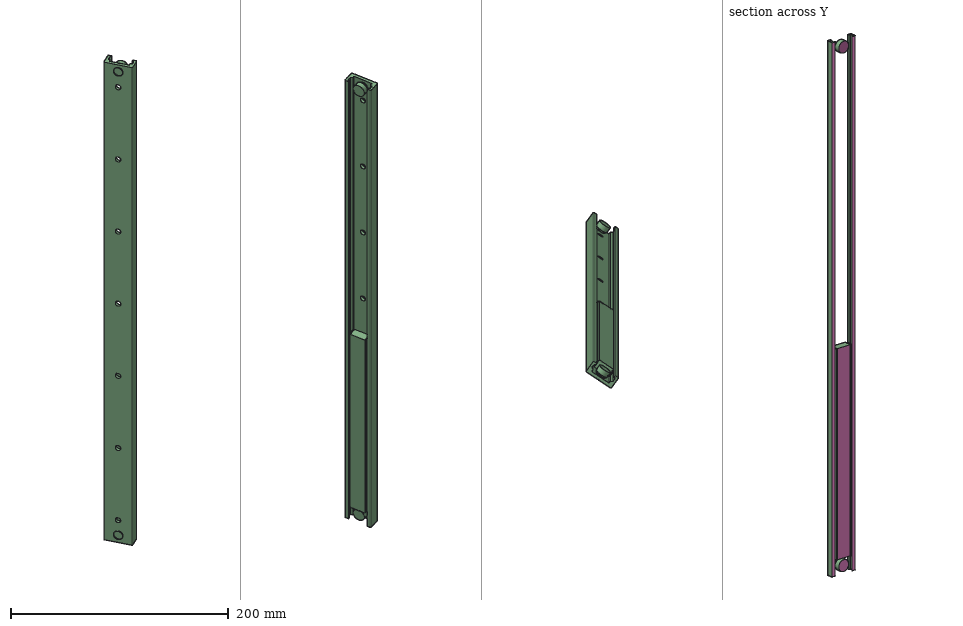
import cadquery as cq

rail_length = 530.0
rail_width = 28.0
rail_height = 12.0
corner_radius = 0.8
floor_thickness = 3.0
channel_width = 19.0
shoulder_height = 5.5
groove_width = 23.5
groove_bottom = 6.5
groove_top = 10.0
lip_opening = 20.0

hole_pitch = 80.0
hole_count = 7
hole_diameter = 5.5
stop_hole_diameter = 9.0
stop_end_distance = 8.0

slider_length = 210.0
slider_end_gap = 15.5
slider_width = 16.0
slider_bottom = 5.0
slider_protrusion = 0.75

cage_thickness = 1.0
cage_bottom = 5.5
cage_top = 10.5

spigot_recess = 1.0
base_diameter = 10.0
base_height = 1.5
head_diameter = 12.0
head_height = 6.0

half_length = rail_length / 2
slider_top = rail_height + slider_protrusion
slider_low_end = -half_length + slider_end_gap
slider_high_end = slider_low_end + slider_length
cage_offset = (slider_width + cage_thickness) / 2
base_top = floor_thickness + base_height
head_top = base_top + head_height
hole_positions = [(number - (hole_count - 1) / 2) * hole_pitch for number in range(hole_count)]
stop_positions = [side * (half_length - stop_end_distance) for side in (-1, 1)]


def box(width, y_low, y_high, z_low, z_high):
    """Box centred on X = 0, between the given Y and Z limits."""
    corner = (-width / 2, y_low, z_low)
    return cq.Workplane("XY").box(width, y_high - y_low, z_high - z_low, centered=False).translate(corner)


def cylinder(diameter, y_low, y_high, z):
    """Cylinder along Y, with its axis at X = 0 and the given Z."""
    solid = cq.Solid.makeCylinder(diameter / 2, y_high - y_low, cq.Vector(0, y_low, z), cq.Vector(0, 1, 0))
    return cq.Workplane(obj=solid)


def make_channel():
    """Space inside the rail: a channel with a raceway groove under the lip of each wall."""
    right_side = [
        (channel_width / 2, floor_thickness),
        (channel_width / 2, shoulder_height),
        (groove_width / 2, groove_bottom),
        (groove_width / 2, groove_top),
        (lip_opening / 2, groove_top),
        (lip_opening / 2, rail_height),
    ]
    left_side = [(-x, y) for x, y in reversed(right_side)]
    outline = cq.Workplane("XY").polyline(right_side + left_side).close()
    return outline.extrude(half_length, both=True)


def make_rail():
    """C-shaped rail with rounded outer corners, mounting holes and stop holes."""
    rail = box(rail_width, 0, rail_height, -half_length, half_length)
    rail = rail.edges("|Z").fillet(corner_radius).cut(make_channel())
    for z in hole_positions:
        rail = rail.cut(cylinder(hole_diameter, 0, floor_thickness, z))
    for z in stop_positions:
        rail = rail.cut(cylinder(stop_hole_diameter, 0, floor_thickness, z))
    return rail


def make_slider():
    """Straight bar that runs in the channel."""
    return box(slider_width, slider_bottom, slider_top, slider_low_end, slider_high_end)


def make_cage(side):
    """Ball cage strip along the slider wall on the given side (-1 or 1)."""
    cage = box(cage_thickness, cage_bottom, cage_top, slider_low_end, slider_high_end)
    return cage.translate((side * cage_offset, 0, 0))


def make_stop(z):
    """Round end stop: a spigot in the rail floor, a narrow base and a wider head."""
    spigot = cylinder(stop_hole_diameter, spigot_recess, floor_thickness, z)
    base = cylinder(base_diameter, floor_thickness, base_top, z)
    head = cylinder(head_diameter, base_top, head_top, z)
    return spigot.union(base).union(head)


rail = make_rail()
slider = make_slider()
cages = [make_cage(side) for side in (-1, 1)]
stops = [make_stop(z) for z in stop_positions]

result = cq.Compound.makeCompound(
    [rail.val(), slider.val(), *[cage.val() for cage in cages], *[stop.val() for stop in stops]]
)